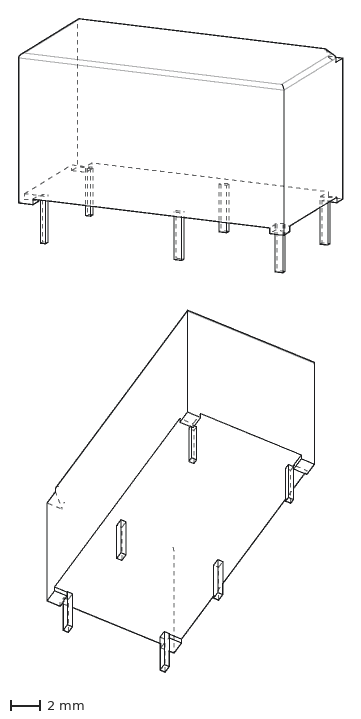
import cadquery as cq

length = 20.0
width = 10.0
total_height = 13.7
feet_bottom = 3.0
foot_height = 0.4
foot_length = 1.08
foot_width = 1.05
underside = feet_bottom + foot_height

rim_radius = 0.3
corner_bevel = 1.2
ledge_drop = 0.6
ledge_height = total_height - ledge_drop

row_spacing = 7.62
first_pin_x = -8.6
middle_pin_x = first_pin_x + 10.15
last_pin_x = middle_pin_x + 7.62
pin_depth = 0.4
thin_pin = 0.4
wide_pin = 0.6
pins = [(first_pin_x, thin_pin), (middle_pin_x, wide_pin), (last_pin_x, wide_pin)]


def upright_block(x_size, y_size, bottom, top, places=((0, 0),)):
    """Blocks centred on the given places, between two heights."""
    return (
        cq.Workplane("XY", origin=(0, 0, bottom))
        .pushPoints(places)
        .rect(x_size, y_size)
        .extrude(top - bottom)
    )


def make_housing():
    """Box with a rounded rim and a low flat ledge outside the bevelled corner."""
    bevelled = (
        upright_block(length, width, underside, total_height)
        .edges("|Z and >X and >Y")
        .chamfer(corner_bevel)
        .faces(">Z")
        .edges()
        .fillet(rim_radius)
    )
    return bevelled.union(upright_block(length, width, underside, ledge_height))


def make_feet():
    foot_x = (length - foot_length) / 2
    foot_y = (width - foot_width) / 2
    corners = [(x, y) for x in (-foot_x, foot_x) for y in (-foot_y, foot_y)]
    return upright_block(foot_length, foot_width, feet_bottom, underside, corners)


result = make_housing().union(make_feet())
for pin_x, pin_width in pins:
    pair = [(pin_x, -row_spacing / 2), (pin_x, row_spacing / 2)]
    result = result.union(upright_block(pin_width, pin_depth, 0, underside, pair))